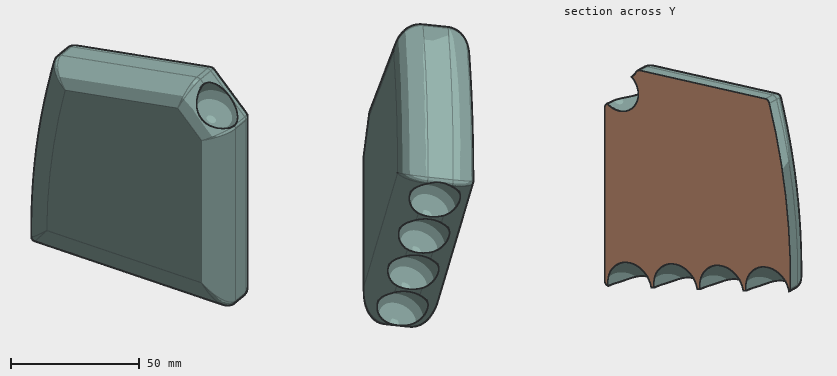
import cadquery as cq
import math

thickness = 30.0
body_width = 85.72
lower_left_z = 14.57
bottom_slope = math.radians(9.9)
top_z = 92.8
top_left_x = 10.1
back_radius = 260.0
chamfer_top_x = 70.2
chamfer_right_z = 74.55

side_rounding = 10.0
corner_rounding = 2.0

finger_radius = 10.0
finger_count = 4
first_finger_x = 10.5
finger_pitch = 21.5

thumb_radius = 10.0
thumb_y = -5.0
thumb_distance_from_right_side = 10.6


def bottom_z(x):
    """Height of the sloping bottom face at x."""
    return lower_left_z - x * math.tan(bottom_slope)


def make_sharp_body():
    """Prism with a bowed back, a sloping bottom and one chamfered corner."""
    lower_left = (0, bottom_z(0))
    return (
        cq.Workplane("XZ")
        .moveTo(*lower_left)
        .lineTo(body_width, bottom_z(body_width))
        .lineTo(body_width, chamfer_right_z)
        .lineTo(chamfer_top_x, top_z)
        .lineTo(top_left_x, top_z)
        .radiusArc(lower_left, -back_radius)
        .close()
        .extrude(thickness / 2, both=True)
    )


def crosses_thickness(edge):
    """True for edges that run from one Y position to another."""
    return abs(edge.startPoint().y - edge.endPoint().y) > corner_rounding


def round_edges(body):
    """Round both sides, then the edges left at the outline's corners."""
    rounded = body.faces("<Y or >Y").edges().fillet(side_rounding)
    corner_edges = [edge for edge in rounded.edges().vals() if crosses_thickness(edge)]
    return rounded.newObject(corner_edges).fillet(corner_rounding)


def ball(radius, x, y, z):
    """Sphere with its poles along Y."""
    return cq.Workplane("XZ").sphere(radius).translate((x, y, z))


def cut_finger_scoops(body):
    """Row of round scoops centred on the bottom face."""
    step_x = finger_pitch * math.cos(bottom_slope)
    for index in range(finger_count):
        x = first_finger_x + index * step_x
        body = body.cut(ball(finger_radius, x, 0, bottom_z(x)))
    return body


def cut_thumb_scoop(body):
    """Round scoop centred on the chamfer face, offset toward -Y."""
    chamfer_angle = math.atan2(top_z - chamfer_right_z, body_width - chamfer_top_x)
    x = body_width - thumb_distance_from_right_side * math.cos(chamfer_angle)
    z = chamfer_right_z + thumb_distance_from_right_side * math.sin(chamfer_angle)
    return body.cut(ball(thumb_radius, x, thumb_y, z))


body = round_edges(make_sharp_body())
body = cut_finger_scoops(body)
result = cut_thumb_scoop(body)